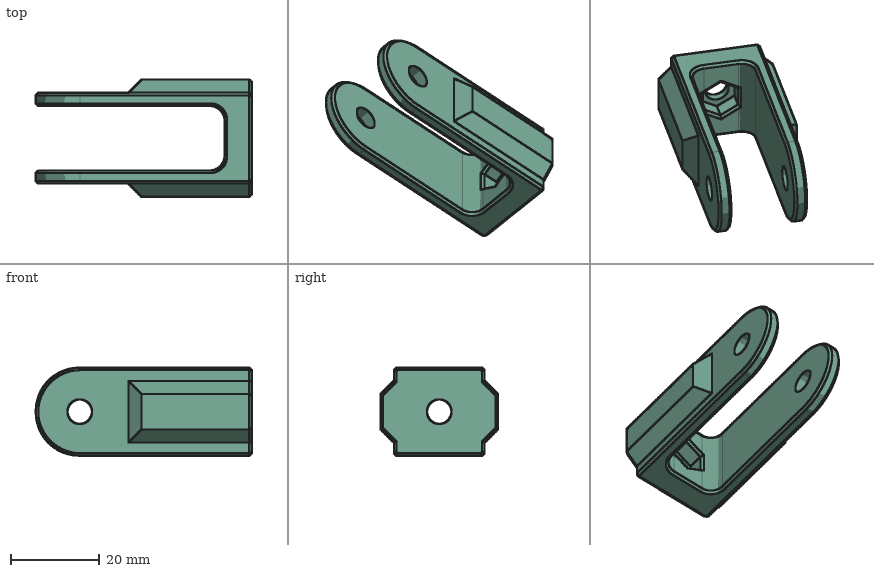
import cadquery as cq
import math

body_height = 20.0
end_radius = body_height / 2
body_length = 49.0
back_x = body_length - end_radius
arm_thickness = 3.0
slot_width = 14.6
body_width = slot_width + 2 * arm_thickness
back_wall = 6.2
slot_end_x = back_x - back_wall
slot_corner_radius = 3.3
edge_chamfer = 0.6
chamfer_angle = 45.0
bore_diameter = 5.5

pad_rise = 3.0
pad_base_height = 14.0
pad_start_x = 11.0

hex_sides = 6
nut_across_flats = 8.1
nut_floor_thickness = 2.0
nut_depth = back_wall - nut_floor_thickness

overshoot = 1.0
select_margin = 0.01


def make_body():
    """Plate with one round end, chamfered along both side outlines."""
    outline = (
        cq.Workplane("XZ")
        .moveTo(0, end_radius)
        .lineTo(back_x, end_radius)
        .lineTo(back_x, -end_radius)
        .lineTo(0, -end_radius)
        .threePointArc((-end_radius, 0), (0, end_radius))
        .close()
    )
    plate = outline.extrude(body_width / 2, both=True)
    side_edges = plate.faces("<Y or >Y").edges("not(>X)")
    return side_edges.chamfer(edge_chamfer)


def make_pad(side):
    """Pad on the side wall at +Y (side = 1) or -Y (side = -1)."""
    base_y = side * body_width / 2
    root_y = base_y - side * arm_thickness / 2
    tip_y = base_y + side * pad_rise
    half_base = pad_base_height / 2
    half_tip = half_base - pad_rise
    section = (
        cq.Workplane("YZ")
        .workplane(offset=pad_start_x)
        .polyline([
            (root_y, half_base),
            (base_y, half_base),
            (tip_y, half_tip),
            (tip_y, -half_tip),
            (base_y, -half_base),
            (root_y, -half_base),
        ])
        .close()
    )
    pad = section.extrude(back_x - pad_start_x)
    front_wedge = (
        cq.Workplane("XY")
        .polyline([
            (pad_start_x, base_y),
            (pad_start_x + pad_rise, tip_y),
            (pad_start_x, tip_y),
        ])
        .close()
        .extrude(body_height / 2, both=True)
    )
    return pad.cut(front_wedge)


def make_slot():
    """Cutter for the space between the arms, open toward -X."""
    open_x = -end_radius - overshoot
    return (
        cq.Workplane("XY")
        .center((open_x + slot_end_x) / 2, 0)
        .rect(slot_end_x - open_x, slot_width)
        .extrude(end_radius + overshoot, both=True)
        .edges("|Z and >X")
        .fillet(slot_corner_radius)
    )


def chamfer_slot(part):
    """Break the edges where the slot meets the body's outline."""
    half_gap = slot_width / 2
    inside = cq.selectors.BoxSelector(
        (-end_radius - select_margin, -half_gap - select_margin, -end_radius - select_margin),
        (slot_end_x + select_margin, half_gap + select_margin, end_radius + select_margin),
        boundingbox=True,
    )
    return part.edges(inside).edges("not(|Z)").chamfer(edge_chamfer)


def hex_prism(start_x, depth, across_flats, taper=0):
    """Hexagonal prism along +X with corners up and down."""
    corner_diameter = across_flats / math.cos(math.pi / hex_sides)
    return (
        cq.Workplane("YZ")
        .workplane(offset=start_x)
        .transformed(rotate=(0, 0, 90))
        .polygon(hex_sides, corner_diameter)
        .extrude(depth, taper=taper)
    )


def make_nut_pocket():
    """Cutter for the hexagonal pocket with a 45 degree lead-in."""
    lead_in_across = nut_across_flats + 2 * edge_chamfer
    lead_in = hex_prism(slot_end_x, edge_chamfer, lead_in_across, taper=chamfer_angle)
    entry = hex_prism(slot_end_x - overshoot, overshoot, lead_in_across)
    return hex_prism(slot_end_x, nut_depth, nut_across_flats).union(lead_in).union(entry)


def make_bores():
    """Cutters for the pivot bore along Y and the bolt bore along X."""
    pivot_bore = cq.Workplane("XZ").circle(bore_diameter / 2).extrude(body_width, both=True)
    bolt_bore = (
        cq.Workplane("YZ")
        .workplane(offset=slot_end_x)
        .circle(bore_diameter / 2)
        .extrude(back_wall + overshoot)
    )
    return pivot_bore.union(bolt_bore)


result = make_body()
for side in (1, -1):
    result = result.union(make_pad(side))
result = result.faces(">X").chamfer(edge_chamfer)
result = chamfer_slot(result.cut(make_slot()))
result = result.cut(make_nut_pocket()).cut(make_bores())